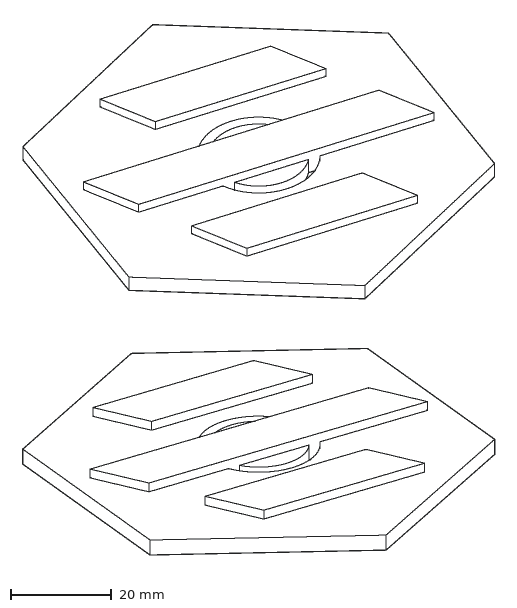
import cadquery as cq
import math

corner_diameter = 93.8
plate_thickness = 3.4

hole_diameter = 24.4
disc_diameter = 20.0

bar_height = 2.0
bar_width = 13.1
bar_slant = math.radians(60)
bar_end_y = 28.4
short_bar_length = 32.8
short_bar_offset = 25.7


def slanted_bar(axis_x, bottom_y, top_y, base_z=plate_thickness):
    """Bar from base_z to the top of the part, its centre line crossing the X axis at axis_x."""
    half_width = bar_width / 2
    bottom_x = axis_x + bottom_y / math.tan(bar_slant)
    top_x = axis_x + top_y / math.tan(bar_slant)
    outline = [
        (bottom_x - half_width, bottom_y),
        (bottom_x + half_width, bottom_y),
        (top_x + half_width, top_y),
        (top_x - half_width, top_y),
    ]
    base = cq.Workplane("XY").workplane(offset=base_z)
    return base.polyline(outline).close().extrude(plate_thickness + bar_height - base_z)


plate = (
    cq.Workplane("XY")
    .polygon(6, corner_diameter)
    .extrude(plate_thickness)
    .rotate((0, 0, 0), (0, 0, 1), 30)
    .faces(">Z")
    .workplane(origin=(0, 0, plate_thickness))
    .hole(hole_diameter)
)
disc = cq.Workplane("XY").circle(disc_diameter / 2).extrude(plate_thickness)

long_bar = slanted_bar(0, -bar_end_y, bar_end_y, base_z=0)
left_bar = slanted_bar(-short_bar_offset, bar_end_y - short_bar_length, bar_end_y)
right_bar = slanted_bar(short_bar_offset, -bar_end_y, short_bar_length - bar_end_y)

result = plate.union(disc).union(long_bar).union(left_bar).union(right_bar)